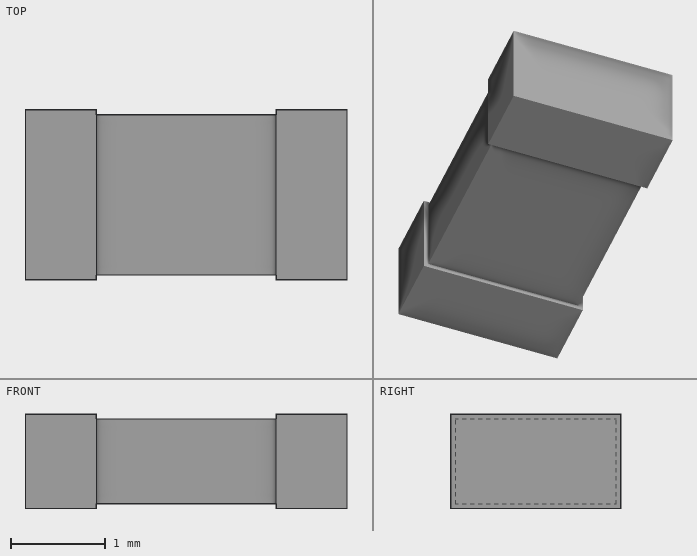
import cadquery as cq

length = 3.4
width = 1.8
height = 1.0

terminal_length = 0.75
step = 0.05

body_length = length - 2 * terminal_length
body_width = width - 2 * step
body_height = height - 2 * step
terminal_offset = (length - terminal_length) / 2


def make_body():
    """Plain block that fills the space between the two terminals."""
    return cq.Workplane("XY").box(body_length, body_width, body_height)


def make_terminal(side):
    """End block, at -X for side -1 and at +X for side 1."""
    block = cq.Workplane("XY").box(terminal_length, width, height)
    return block.translate((side * terminal_offset, 0, 0))


body = make_body()
terminals = [make_terminal(side) for side in (-1, 1)]

result = cq.Compound.makeCompound([body.val(), *[terminal.val() for terminal in terminals]])